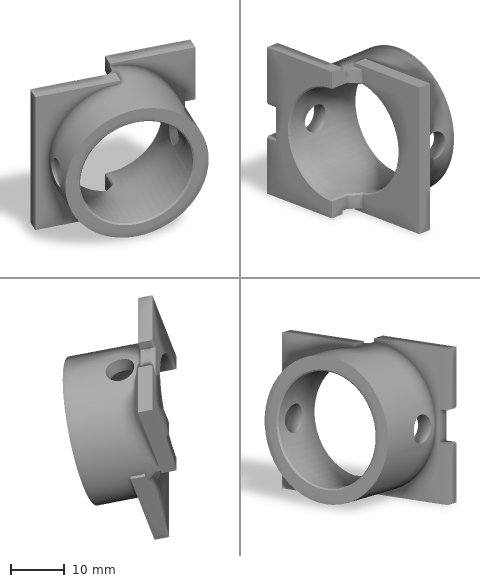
import cadquery as cq

total_length = 18.0
flange_width = 33.6
flange_height = 29.6
flange_thickness = 2.8
flange_offset = 6.0

tube_diameter = 28.2
bore_diameter = 22.2
bore_chamfer = 0.3
gusset_size = 2.0

radial_hole_diameter = 5.5
plus_y_hole_x = 7.0
minus_y_hole_x = 13.0

notch_width = 6.4
notch_depth = 2.0
notch_chamfer = 0.3

half_width = flange_width / 2
tube_radius = tube_diameter / 2
bore_radius = bore_diameter / 2


def half_flange(front_x, side):
    """Plate over one half of the width (side is +1 or -1 along Y), front face at front_x."""
    plate = cq.Workplane("XY").box(
        flange_thickness, half_width, flange_height, centered=(False, True, True)
    )
    return plate.translate((front_x, side * half_width / 2, 0))


def stepped_tube():
    """Solid cylinder whose front end steps back on the -Y half, leaving a 45 degree gusset."""
    cylinder = cq.Workplane("YZ").circle(tube_radius).extrude(total_length)
    step = (
        cq.Workplane("XY")
        .lineTo(flange_offset - gusset_size, 0)
        .lineTo(flange_offset, -gusset_size)
        .lineTo(flange_offset, -half_width)
        .lineTo(0, -half_width)
        .close()
        .extrude(flange_height / 2, both=True)
    )
    return cylinder.cut(step)


def bore_rim(front_x, back_x):
    """Selector for the bore edges that lie wholly between two X positions."""
    margin = 0.1
    reach = bore_radius + margin
    return cq.selectors.BoxSelector(
        (front_x - margin, -reach, -reach),
        (back_x + margin, reach, reach),
        boundingbox=True,
    )


def cut_bore(body):
    """Bore along X and chamfer both ends, following the stepped front rim all the way round."""
    bored = body.cut(cq.Workplane("YZ").circle(bore_radius).extrude(total_length))
    front_chamfered = bored.edges(bore_rim(0, flange_offset)).chamfer(bore_chamfer)
    return front_chamfered.edges(bore_rim(total_length, total_length)).chamfer(bore_chamfer)


def radial_hole(center_x, side):
    """Cutter from the tube axis outward along Y, through one side wall (side is +1 or -1)."""
    circle = cq.Workplane("XZ").center(center_x, 0).circle(radial_hole_diameter / 2)
    return circle.extrude(-side * half_width)


def notch():
    """Cutter for the flange edge notch: a straight slot plus a 45 degree flare at the front."""
    slot = (
        cq.Workplane("YZ")
        .center(half_width, 0)
        .rect(2 * notch_depth, notch_width)
        .extrude(flange_thickness)
    )
    flare = (
        cq.Workplane("YZ")
        .center(half_width, 0)
        .rect(2 * (notch_depth + notch_chamfer), notch_width + 2 * notch_chamfer)
        .workplane(offset=notch_chamfer)
        .rect(2 * notch_depth, notch_width)
        .loft(ruled=True)
    )
    return slot.union(flare)


body = (
    stepped_tube()
    .union(half_flange(0, 1))
    .union(half_flange(flange_offset, -1))
)
body = cut_bore(body)
body = body.cut(radial_hole(plus_y_hole_x, 1))
body = body.cut(radial_hole(minus_y_hole_x, -1))
result = body.cut(notch())